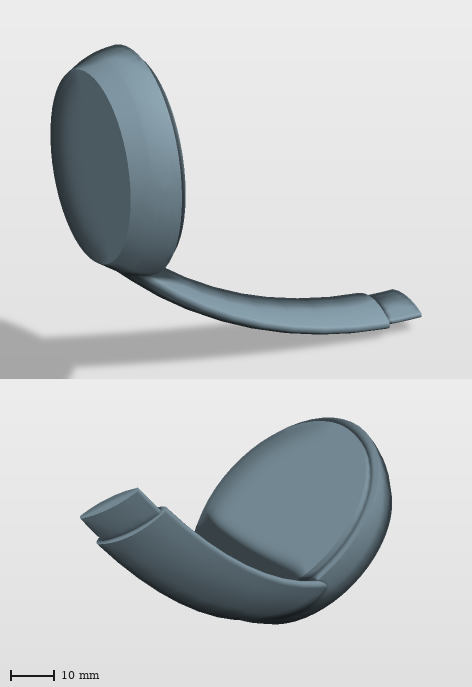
import cadquery as cq
import math

head_radius = 27.12
head_front_radius = 22.9
head_middle_radius = 25.9
head_depth = 11.2
plate_radius = 24.9
plate_thickness = 1.9

total_length = 80.4
total_height = 77.7
tang_length = 8.75
handle_end = total_length - tang_length
handle_width = 20.1
handle_thickness = 6.4
handle_edge_radius = 1.005
tang_width = 16.9
tang_thickness = 3.5
tang_edge_radius = 0.65
bend_radius = 94.8
bend_center_y = 70.4
handle_low_z = head_radius - total_height
section_z = handle_low_z + handle_thickness / 2
bend_center_z = section_z + bend_radius

tip_angle = 10
root_angle = math.degrees(math.asin((bend_center_y - head_depth) / bend_radius))
root_length = 9.65
tang_overlap = 4.0
relief_radius = 26.85


def cylinder_along_y(radius, start, length):
    """Solid cylinder on the head axis, growing toward +Y."""
    return cq.Workplane("XZ", origin=(0, start, 0)).circle(radius).extrude(-length)


def lens_section(width, thickness, edge_radius):
    """Two shallow arcs joined tangentially by small round edges."""
    half_width = width / 2
    half_thickness = thickness / 2
    edge_center = half_width - edge_radius
    face_radius = (edge_center**2 + half_thickness**2 - edge_radius**2) / (
        2 * (half_thickness - edge_radius)
    )
    tangent_angle = math.asin(edge_center / (face_radius - edge_radius))
    x = edge_center + edge_radius * math.sin(tangent_angle)
    z = edge_radius * math.cos(tangent_angle)
    return (
        cq.Workplane("XZ", origin=(0, bend_center_y, section_z))
        .moveTo(-x, z)
        .threePointArc((0, half_thickness), (x, z))
        .threePointArc((half_width, 0), (x, -z))
        .threePointArc((0, -half_thickness), (-x, -z))
        .threePointArc((-half_width, 0), (-x, z))
        .close()
    )


def bent_bar(section, first_angle, last_angle):
    """Section carried around the bend; angles grow from its lowest point toward the head."""
    bar = section.revolve(last_angle - first_angle, (0, bend_radius, 0), (-1, bend_radius, 0))
    return turn_about_bend(bar, first_angle)


def turn_about_bend(solid, angle):
    """Turn a solid about the bend axis, toward the head for positive angles."""
    return solid.rotate((0, bend_center_y, bend_center_z), (-1, bend_center_y, bend_center_z), angle)


def trim_at(solid, start, end):
    """Keep the part of a solid between two Y planes."""
    span = cq.Workplane("XY").box(
        2 * handle_width, end - start, 2 * total_height, centered=(True, False, True)
    )
    return solid.intersect(span.translate((0, start, 0)))


def make_head():
    """Domed disc with a smaller plate on its back."""
    disc = (
        cq.Workplane("XY")
        .lineTo(head_front_radius, 0)
        .threePointArc((head_middle_radius, head_depth / 2), (head_radius, head_depth))
        .lineTo(0, head_depth)
        .close()
        .revolve(360, (0, 0, 0), (0, 1, 0))
    )
    return disc.union(cylinder_along_y(plate_radius, head_depth, plate_thickness))


def make_handle():
    """Handle and tang, with a straight root inside the head and the top relieved behind the head rim."""
    handle_size = (handle_width, handle_thickness, handle_edge_radius)
    bend = trim_at(bent_bar(lens_section(*handle_size), -tip_angle, root_angle), 0, handle_end)
    root = turn_about_bend(lens_section(*handle_size).extrude(root_length), root_angle)
    handle = bend.union(root)
    handle = handle.cut(cylinder_along_y(relief_radius, head_depth, handle_end - head_depth))
    tang_section = lens_section(tang_width, tang_thickness, tang_edge_radius)
    tang = trim_at(bent_bar(tang_section, -tip_angle, tip_angle), handle_end - tang_overlap, total_length)
    return handle.union(tang)


result = make_head().union(make_handle())